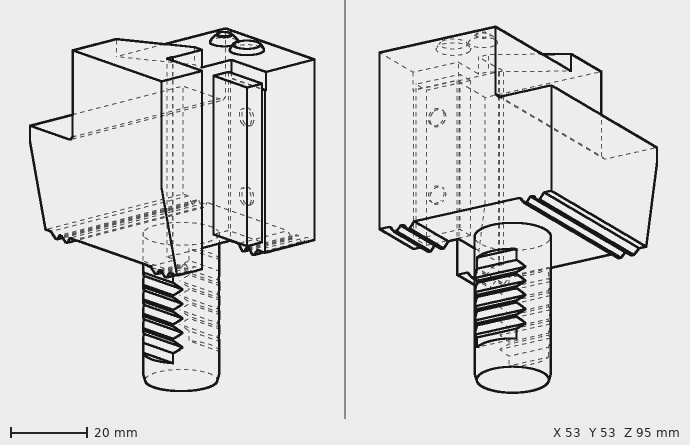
import cadquery as cq
import math


block_left = -26.0
block_right = 27.0
block_front = -30.0
block_back = 23.0
block_top = 54.6
shoulder_x = -8.8
shoulder_z = 29.7
shoulder_chamfer = 1.0
taper_start_z = 25.2
taper_angle = 12

platform_depth = 4.8
platform_z = block_top - platform_depth
platform_edge_y = -4.0
platform_corner_x = 10.0
platform_edge_angle = 30

slot_floor_x = 13.0
slot_front_y = -16.0
slot_back_y = 6.2
relief_depth = 0.3
relief_width = 2.0
back_ledge_width = 0.3
back_ledge_drop = 5.0

bar_left = 13.2
bar_right = 26.8
bar_front = -0.2
bar_back = 5.0
bar_drop = 3.0
bar_top = platform_z - bar_drop
bar_bottom = bar_drop
screw_diameter = 4.8
screw_x = (bar_left + bar_right) / 2
screw_count = 2
screw_seat_depth = 0.95

plug_y = 14.9
nozzle_x = 0
nozzle_base_diameter = 7.6
nozzle_lip_diameter = 3.8
nozzle_dome_height = 1.9
nozzle_lip_height = 0.3
cap_x = 9.1
cap_base_diameter = 9.1
cap_top_diameter = 7.2
cap_height = 1.4

tooth_pair_x = 20.0
tooth_pitch = 4.0
tooth_height = 1.7
tooth_base_width = 3.6
tooth_tip_width = 0.8
tooth_web_height = 0.3

shank_diameter = 20.0
shank_length = 40.4
lead_in_length = 1.8
lead_in_width = 0.52
shank_flat_y = 8.0
shank_flat_clearance = 7.8
shank_flat_length = 25.3
shank_flat_bottom = shank_flat_clearance - shank_length
shank_flat_top = shank_flat_bottom + shank_flat_length
groove_count = 5
groove_pitch = 4.0
groove_depth = 1.7
groove_middle_height = 20.2
groove_middle_z = groove_middle_height - shank_length


def box(x0, x1, y0, y1, z0, z1):
    """Box between two opposite corners."""
    return cq.Workplane("XY").box(x1 - x0, y1 - y0, z1 - z0, centered=False).translate((x0, y0, z0))


def stepped_block():
    """L-shaped block with a small chamfer filling its inner corner."""
    outline = [
        (block_left, 0),
        (block_right, 0),
        (block_right, block_top),
        (shoulder_x, block_top),
        (shoulder_x, shoulder_z + shoulder_chamfer),
        (shoulder_x - shoulder_chamfer, shoulder_z),
        (block_left, shoulder_z),
    ]
    block_depth = block_back - block_front
    return cq.Workplane("XZ", origin=(0, block_back, 0)).polyline(outline).close().extrude(block_depth)


def tooth_pair(center_x):
    """Two teeth joined by a thin web, running the full depth of the block."""
    half_pitch = tooth_pitch / 2
    teeth = box(center_x - half_pitch, center_x + half_pitch, block_front, block_back, -tooth_web_height, 0)
    for tooth_x in (center_x - half_pitch, center_x + half_pitch):
        outline = [
            (tooth_x - tooth_base_width / 2, 0),
            (tooth_x - tooth_tip_width / 2, -tooth_height),
            (tooth_x + tooth_tip_width / 2, -tooth_height),
            (tooth_x + tooth_base_width / 2, 0),
        ]
        plane = cq.Workplane("XZ", origin=(0, block_back, 0))
        teeth = teeth.union(plane.polyline(outline).close().extrude(block_back - block_front))
    return teeth


def front_taper():
    """Wedge below the front face, cutting through the block and its teeth."""
    taper_drop = taper_start_z + tooth_height
    taper_inset = taper_drop * math.tan(math.radians(taper_angle))
    outline = [
        (block_front, taper_start_z),
        (block_front + taper_inset, -tooth_height),
        (block_front, -tooth_height),
    ]
    plane = cq.Workplane("YZ", origin=(block_left, 0, 0))
    return plane.polyline(outline).close().extrude(block_right - block_left)


def platform_cut():
    """Material above the platform, bounded in front by the raised part's slanted edge."""
    slant_run = platform_corner_x - shoulder_x
    slant_drop = slant_run * math.tan(math.radians(platform_edge_angle))
    outline = [
        (shoulder_x, platform_edge_y - slant_drop),
        (platform_corner_x, platform_edge_y),
        (block_right, platform_edge_y),
        (block_right, block_back),
        (shoulder_x, block_back),
    ]
    return cq.Workplane("XY", origin=(0, 0, platform_z)).polyline(outline).close().extrude(platform_depth)


def tool_slot():
    """Full-height slot with a relief in its front corner and a ledge on its back wall."""
    ledge_z = platform_z - back_ledge_drop
    ledge_y = slot_back_y - back_ledge_width
    slot = box(slot_floor_x, block_right, slot_front_y, ledge_y, -tooth_height, block_top)
    relief = box(
        slot_floor_x - relief_depth, slot_floor_x,
        slot_front_y, slot_front_y + relief_width,
        -tooth_height, block_top,
    )
    above_ledge = box(slot_floor_x, block_right, ledge_y, slot_back_y, ledge_z, block_top)
    return slot.union(relief).union(above_ledge)


def clamping_bar():
    """Upright bar in the slot, held off the back wall by evenly spaced screws."""
    bar = box(bar_left, bar_right, bar_front, bar_back, bar_bottom, bar_top)
    screw_spacing = (bar_top - bar_bottom) / screw_count
    screw_end_y = slot_back_y + screw_seat_depth
    for index in range(screw_count):
        screw_z = bar_bottom + (index + 0.5) * screw_spacing
        plane = cq.Workplane("XZ", origin=(screw_x, screw_end_y, screw_z))
        bar = bar.union(plane.circle(screw_diameter / 2).extrude(screw_end_y - bar_back))
    return bar


def dome(center_x, base_diameter, top_diameter, height):
    """Flat-topped slice of a sphere standing on the platform."""
    base_radius = base_diameter / 2
    top_radius = top_diameter / 2
    sphere_center = (top_radius**2 + height**2 - base_radius**2) / (2 * height)
    sphere_radius = math.hypot(base_radius, sphere_center)
    middle_z = height / 2
    middle_radius = math.sqrt(sphere_radius**2 - (middle_z - sphere_center) ** 2)
    profile = (
        cq.Workplane("XZ")
        .lineTo(base_radius, 0)
        .threePointArc((middle_radius, middle_z), (top_radius, height))
        .lineTo(0, height)
        .close()
    )
    return profile.revolve(360, (0, 0), (0, 1)).translate((center_x, plug_y, platform_z))


def nozzle():
    """Small domed plug with a short round lip on top."""
    lip_plane = cq.Workplane("XY", origin=(nozzle_x, plug_y, platform_z + nozzle_dome_height))
    lip = lip_plane.circle(nozzle_lip_diameter / 2).extrude(nozzle_lip_height)
    return dome(nozzle_x, nozzle_base_diameter, nozzle_lip_diameter, nozzle_dome_height).union(lip)


def shank_cut(side):
    """Flat with V grooves, on the side of the shank given by the sign of Y."""
    shank_radius = shank_diameter / 2
    flat = box(-shank_radius, shank_radius, shank_flat_y, shank_radius, shank_flat_bottom, shank_flat_top)
    for index in range(groove_count):
        groove_z = groove_middle_z + (index - (groove_count - 1) / 2) * groove_pitch
        outline = [
            (shank_flat_y, groove_z - groove_depth),
            (shank_flat_y - groove_depth, groove_z),
            (shank_flat_y, groove_z + groove_depth),
        ]
        plane = cq.Workplane("YZ", origin=(-shank_radius, 0, 0))
        flat = flat.union(plane.polyline(outline).close().extrude(shank_diameter))
    return flat if side > 0 else flat.mirror("XZ")


def shank():
    """Round shank with a lead-in at its lower end and toothed flats front and back."""
    body = cq.Workplane("XY").circle(shank_diameter / 2).extrude(-shank_length)
    body = body.faces("<Z").edges().chamfer(lead_in_length, lead_in_width)
    for side in (-1, 1):
        body = body.cut(shank_cut(side))
    return body


holder = stepped_block()
for pair_x in (-tooth_pair_x, tooth_pair_x):
    holder = holder.union(tooth_pair(pair_x))
holder = holder.cut(front_taper()).cut(platform_cut()).cut(tool_slot())
holder = holder.union(clamping_bar())
holder = holder.union(nozzle())
holder = holder.union(dome(cap_x, cap_base_diameter, cap_top_diameter, cap_height))
holder = holder.union(shank())
result = holder.solids()